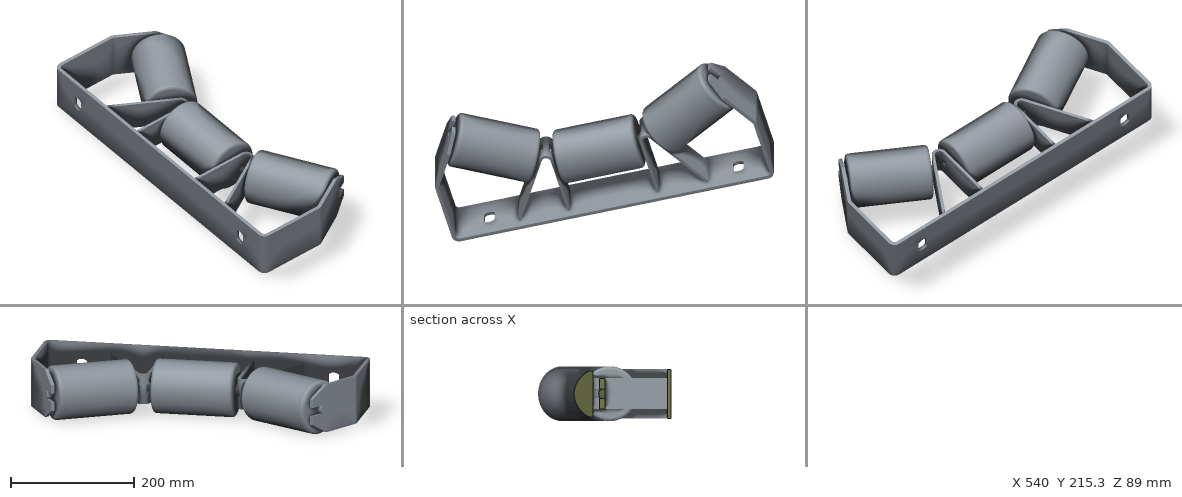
import cadquery as cq
import math

drum_diameter = 89.0
drum_length = 135.0
drum_fillet = 5.5
shaft_diameter = 20.0
shaft_flat_width = 14.5
shaft_gap = 5.0
tilt = 30.0
center_roller_y = 99.5
side_roller_x = 164.5
side_roller_y = 145.0

frame_length = 540.0
cradle_width = 80.0
cradle_thickness = 6.0
cradle_bend_radius = 6.0
bracket_width = 50.0
bracket_thickness = 5.0
bracket_bend_radius = 7.5
foot_sink = 0.5
tip_overhang = 31.0
tip_chamfer_length = 33.0
tip_chamfer_depth = 18.5

mount_hole_diameter = 25.0
mount_hole_width = 18.0
mount_hole_x = 209.0

sin_tilt = math.sin(math.radians(tilt))
cos_tilt = math.cos(math.radians(tilt))
plate_face = drum_length / 2 + shaft_gap
bracket_far_face = plate_face + bracket_thickness
cradle_far_face = plate_face + cradle_thickness


def beside_left_roller(along, across):
    """Point at a distance along the left roller's axis (outward) and across it (away from the base)."""
    return (
        -side_roller_x - along * cos_tilt + across * sin_tilt,
        side_roller_y + along * sin_tilt + across * cos_tilt,
    )


def across_at_x(along, x):
    """Distance across the left roller's axis at which the line at `along` reaches x."""
    return (x - beside_left_roller(along, 0)[0]) / sin_tilt


def across_at_y(along, y):
    """Distance across the left roller's axis at which the line at `along` reaches y."""
    return (y - beside_left_roller(along, 0)[1]) / cos_tilt


def mirrored(body):
    return body.mirror("YZ")


def place_on_left(body):
    """Move a body made along X at the origin onto the left roller's axis, -X end outward."""
    return body.rotate((0, 0, 0), (0, 0, 1), -tilt).translate((-side_roller_x, side_roller_y, 0))


def bent_plate(points, width, thickness, inside_radius):
    """Plate, its width along Z, whose middle line follows the points, rounded at each inner point."""
    corners = [cq.Vector(*point) for point in points]
    radius = inside_radius + thickness / 2
    path = cq.Workplane("XY").moveTo(*points[0])
    for before, corner, after in zip(corners, corners[1:], corners[2:]):
        back = (before - corner).normalized()
        ahead = (after - corner).normalized()
        setback = radius / math.tan(back.getAngle(ahead) / 2)
        bend_start = corner + back * setback
        bend_end = corner + ahead * setback
        path = path.lineTo(bend_start.x, bend_start.y)
        path = path.tangentArcPoint((bend_end.x, bend_end.y), relative=False)
    path = path.lineTo(*points[-1])
    start_plane = cq.Plane(
        origin=corners[0].toTuple(), xDir=(0, 0, 1), normal=(corners[1] - corners[0]).toTuple()
    )
    return cq.Workplane(start_plane).rect(width, thickness).sweep(path)


def rod(diameter, start_x, end_x):
    """Round rod along X between two places."""
    return cq.Workplane("YZ", origin=(start_x, 0, 0)).circle(diameter / 2).extrude(end_x - start_x)


def flats(length):
    """Bar centred at the origin that trims a rod or slot to the shaft's flatted width."""
    return cq.Workplane("XY").box(length, length, shaft_flat_width)


def make_roller(left_end, right_end):
    """Roller along X, centred on its drum; the flatted shaft ends reach left_end and right_end."""
    drum = rod(drum_diameter, -drum_length / 2, drum_length / 2).edges("%CIRCLE").fillet(drum_fillet)
    round_shaft = rod(shaft_diameter, -plate_face, plate_face)
    flatted_shaft = rod(shaft_diameter, -left_end, right_end).intersect(flats(2 * drum_length))
    return drum.union(round_shaft).union(flatted_shaft)


def make_slot(near_x, far_x, length):
    """Slot cutter between two X places: a seat for the flatted shaft, open toward +Y."""
    channel = cq.Workplane("XY", origin=(near_x, 0, 0)).box(
        far_x - near_x, length, shaft_diameter, centered=(False, False, True)
    )
    return rod(shaft_diameter, near_x, far_x).union(channel).intersect(flats(2 * drum_length))


def make_cradle():
    """Base plate with both ends folded up and then inward, slotted for the outer shaft ends."""
    middle = (plate_face + cradle_far_face) / 2
    side_x = frame_length / 2 - cradle_thickness / 2
    base_y = cradle_thickness / 2
    left_points = [
        beside_left_roller(middle, tip_overhang),
        beside_left_roller(middle, across_at_x(middle, -side_x)),
        (-side_x, base_y),
    ]
    right_points = [(-x, y) for x, y in reversed(left_points)]
    cradle = bent_plate(left_points + right_points, cradle_width, cradle_thickness, cradle_bend_radius)

    half_width = cradle_width / 2
    tip_corner = (
        cq.Workplane("YZ", origin=(-cradle_far_face, 0, 0))
        .moveTo(tip_overhang, half_width - tip_chamfer_depth)
        .lineTo(tip_overhang, half_width)
        .lineTo(tip_overhang - tip_chamfer_length, half_width)
        .close()
        .extrude(cradle_thickness)
    )
    end_cuts = make_slot(-cradle_far_face, -plate_face, 2 * tip_overhang)
    end_cuts = end_cuts.union(tip_corner).union(tip_corner.mirror("XY"))
    left_cuts = place_on_left(end_cuts)

    hole_places = [(-mount_hole_x, 0), (mount_hole_x, 0)]
    base = cq.Workplane("XZ").pushPoints(hole_places)
    round_holes = base.circle(mount_hole_diameter / 2).extrude(-cradle_thickness)
    hole_flats = base.rect(mount_hole_width, cradle_width).extrude(-cradle_thickness)
    mount_holes = round_holes.intersect(hole_flats)
    return cradle.cut(left_cuts).cut(mirrored(left_cuts)).cut(mount_holes)


def make_left_bracket():
    """Folded bracket: a leg square to the base and a leg square to the left roller."""
    middle = (plate_face + bracket_far_face) / 2
    foot_across = across_at_y(-bracket_far_face, cradle_thickness - foot_sink)
    points = [
        (-middle, cradle_thickness),
        beside_left_roller(-middle, across_at_x(-middle, -middle)),
        beside_left_roller(-middle, foot_across),
    ]
    bracket = bent_plate(points, bracket_width, bracket_thickness, bracket_bend_radius)
    upright_slot = make_slot(-bracket_far_face, -plate_face, drum_diameter)
    upright_slot = upright_slot.translate((0, center_roller_y, 0))
    tilted_slot = place_on_left(make_slot(plate_face, bracket_far_face, drum_diameter))
    return bracket.cut(upright_slot).cut(tilted_slot)


left_bracket = make_left_bracket()
center_roller = make_roller(bracket_far_face, bracket_far_face).translate((0, center_roller_y, 0))
frame = make_cradle()
for part in (left_bracket, mirrored(left_bracket), center_roller):
    frame = frame.union(part, clean=False)

left_roller = place_on_left(make_roller(cradle_far_face, bracket_far_face))
side_rollers = [left_roller, mirrored(left_roller)]

result = cq.Compound.makeCompound([frame.solids().val(), *[roller.val() for roller in side_rollers]])